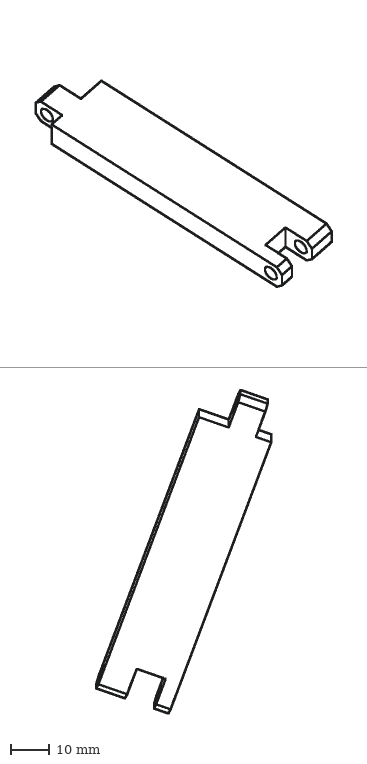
import cadquery as cq

length = 87.6
width = 20.0
height = 7.6

tongue_length = 9.0
tongue_width = 7.5
slot_depth = 9.0
slot_width = 8.0
front_lug_width = 4.0
hinge_y = front_lug_width + slot_width / 2

end_chamfer = 1.75
pin_diameter = 4.0
pin_inset = height / 2


def block(x_start, x_end, y_start, y_end):
    """Full-height block with its base on Z = 0."""
    return cq.Workplane("XY").box(
        x_end - x_start, y_end - y_start, height, centered=False
    ).translate((x_start, y_start, 0))


body = block(tongue_length, length, 0, width)
tongue = block(
    0, tongue_length, hinge_y - tongue_width / 2, hinge_y + tongue_width / 2
)
bar = body.union(tongue)

slot = block(
    length - slot_depth, length, hinge_y - slot_width / 2, hinge_y + slot_width / 2
)
bar = bar.cut(slot)

bar = bar.faces("<X or >X").edges("|Y").chamfer(end_chamfer)

pins = (
    cq.Workplane("XZ")
    .pushPoints([(pin_inset, height / 2), (length - pin_inset, height / 2)])
    .circle(pin_diameter / 2)
    .extrude(-width)
)
result = bar.cut(pins)